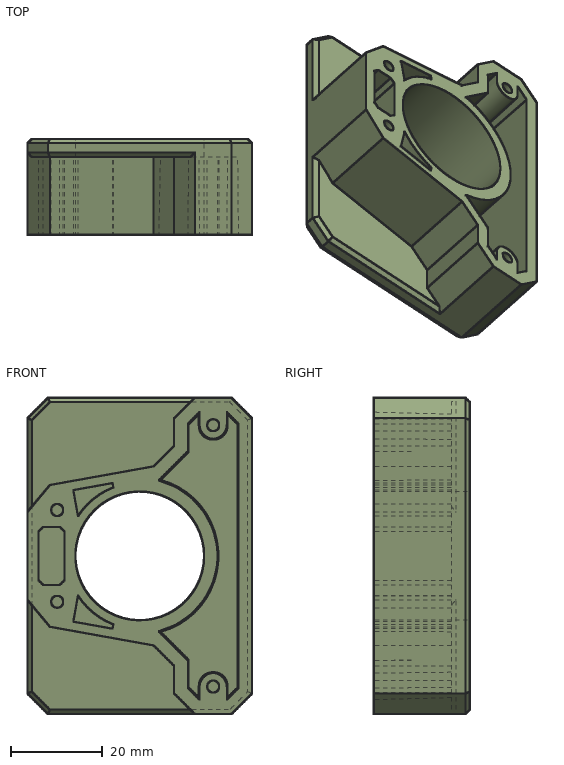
import cadquery as cq
import math

WIDTH = 49.0
DEPTH = 21.0
HEIGHT = 69.0

PLATE_THICKNESS = 4.0
CORNER_CUT = 4.5
EDGE_CHAMFER = 1.0

WALL = 3.0
COLUMN_LEFT = 7.5
COLUMN_FOOT_Z = 24.0
SHOULDER_X = 3.05
NOSE_CORNER_X = -19.6
NOSE_CORNER_Z = 15.45
NOSE_HALF_HEIGHT = 9.6

BORE_DIAMETER = 28.0

POCKET_DRAFT = 0.6
BOSS_X = 16.0
BOSS_Z = 28.5
BOSS_RADIUS = 3.0

SCREW_DIAMETER = 2.6
NOSE_SCREW_X = -18.0
NOSE_SCREW_Z = 10.0

SLOT_X = -19.25
SLOT_WIDTH = 5.65
SLOT_HEIGHT = 12.7
SLOT_CORNER_CHAMFER = 1.05

RECESS_WALL = 2.0
RECESS_LEFT = -14.5
RECESS_RIGHT = -5.9

HALF_WIDTH = WIDTH / 2
HALF_HEIGHT = HEIGHT / 2
BORE_RADIUS = BORE_DIAMETER / 2
CORNER_Z = HALF_HEIGHT - CORNER_CUT
SHOULDER_Z = COLUMN_FOOT_Z - (COLUMN_LEFT - SHOULDER_X)
RECESS_DEPTH = DEPTH - PLATE_THICKNESS


def mirrored(points):
    """The given points, then their mirror images across Z = 0 in reverse order."""
    return points + [(x, -z) for x, z in reversed(points)]


def front_plane():
    """Workplane on the open front face: local x is X, local y is Z, normal is -Y."""
    return cq.Workplane("XZ", origin=(0, -DEPTH, 0))


def make_plate():
    outline = mirrored([
        (-HALF_WIDTH, CORNER_Z),
        (-HALF_WIDTH + CORNER_CUT, HALF_HEIGHT),
        (HALF_WIDTH - CORNER_CUT, HALF_HEIGHT),
        (HALF_WIDTH, CORNER_Z),
    ])
    plate = cq.Workplane("XZ").polyline(outline).close().extrude(PLATE_THICKNESS)
    return plate.faces("<Y or >Y").chamfer(EDGE_CHAMFER)


def make_body():
    outline = mirrored([
        (-HALF_WIDTH, NOSE_HALF_HEIGHT),
        (NOSE_CORNER_X, NOSE_CORNER_Z),
        (SHOULDER_X, SHOULDER_Z),
        (COLUMN_LEFT, COLUMN_FOOT_Z),
        (COLUMN_LEFT, CORNER_Z),
        (COLUMN_LEFT + CORNER_CUT, HALF_HEIGHT),
        (HALF_WIDTH - CORNER_CUT, HALF_HEIGHT),
        (HALF_WIDTH, CORNER_Z),
    ])
    body_start = cq.Workplane("XZ", origin=(0, -EDGE_CHAMFER, 0))
    return body_start.polyline(outline).close().extrude(DEPTH - EDGE_CHAMFER)


def make_pocket():
    """Pocket one wall inside the column, bounded by the bore's tube and the two bosses."""
    left = COLUMN_LEFT + WALL
    right = HALF_WIDTH - WALL
    bend = math.radians(45)
    miter = WALL * math.tan(bend / 2)
    top_z = CORNER_Z - miter
    foot_z = COLUMN_FOOT_Z - miter

    tube_radius = BORE_RADIUS + WALL
    rise = foot_z - left
    tip_x = (math.sqrt(2 * tube_radius**2 - rise**2) - rise) / 2
    tip_z = tip_x + rise

    boss_left = BOSS_X - BOSS_RADIUS
    boss_right = BOSS_X + BOSS_RADIUS
    boss_left_z = top_z + boss_left - left
    boss_right_z = top_z + right - boss_right
    boss_end_z = BOSS_Z - BOSS_RADIUS

    outline = (
        front_plane()
        .moveTo(tip_x, tip_z)
        .lineTo(left, foot_z)
        .lineTo(left, top_z)
        .lineTo(boss_left, boss_left_z)
        .lineTo(boss_left, BOSS_Z)
        .threePointArc((BOSS_X, boss_end_z), (boss_right, BOSS_Z))
        .lineTo(boss_right, boss_right_z)
        .lineTo(right, top_z)
        .lineTo(right, -top_z)
        .lineTo(boss_right, -boss_right_z)
        .lineTo(boss_right, -BOSS_Z)
        .threePointArc((BOSS_X, -boss_end_z), (boss_left, -BOSS_Z))
        .lineTo(boss_left, -boss_left_z)
        .lineTo(left, -top_z)
        .lineTo(left, -foot_z)
        .lineTo(tip_x, -tip_z)
        .threePointArc((tube_radius, 0), (tip_x, tip_z))
        .close()
    )
    return outline.extrude(-RECESS_DEPTH, taper=POCKET_DRAFT)


def make_screw_holes():
    centers = mirrored([(BOSS_X, BOSS_Z), (NOSE_SCREW_X, NOSE_SCREW_Z)])
    return front_plane().pushPoints(centers).circle(SCREW_DIAMETER / 2).extrude(-RECESS_DEPTH)


def make_slot():
    block = front_plane().center(SLOT_X, 0).rect(SLOT_WIDTH, SLOT_HEIGHT).extrude(-RECESS_DEPTH)
    return block.edges("|Y").chamfer(SLOT_CORNER_CHAMFER)


def make_triangle_recesses():
    """Recesses with a long side parallel to the arm, ends square to it, and the tube's curve inside."""
    slope = (SHOULDER_Z - NOSE_CORNER_Z) / (SHOULDER_X - NOSE_CORNER_X)
    drop = RECESS_WALL * math.hypot(1, slope)

    def top_edge_z(x):
        return NOSE_CORNER_Z + slope * (x - NOSE_CORNER_X) - drop

    low_z = BORE_RADIUS / 2
    left_z = top_edge_z(RECESS_LEFT)
    right_z = top_edge_z(RECESS_RIGHT)
    outline = [
        (RECESS_LEFT, left_z),
        (RECESS_RIGHT, right_z),
        (RECESS_RIGHT + slope * (right_z - low_z), low_z),
        (RECESS_LEFT + slope * (left_z - low_z), low_z),
    ]
    tube = front_plane().circle(BORE_RADIUS + RECESS_WALL).extrude(-RECESS_DEPTH)
    upper = front_plane().polyline(outline).close().extrude(-RECESS_DEPTH).cut(tube)
    return upper.union(upper.mirror("XY"))


bore = front_plane().circle(BORE_RADIUS).extrude(-DEPTH)

result = (
    make_plate()
    .union(make_body())
    .cut(bore)
    .cut(make_pocket())
    .cut(make_screw_holes())
    .cut(make_slot())
    .cut(make_triangle_recesses())
)